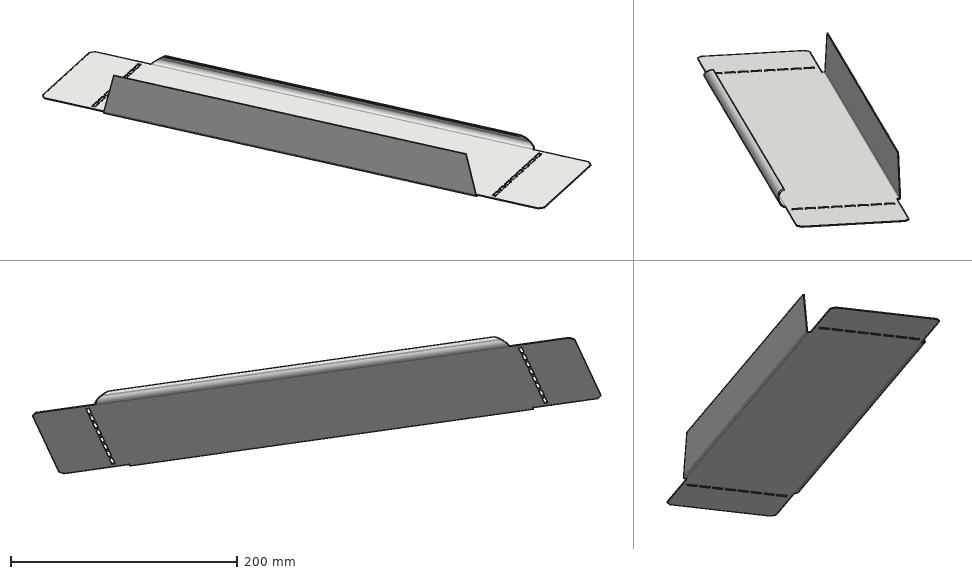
import cadquery as cq

length = 495.0
depth = 110.0
height = 40.0
sheet = 1.0

plate_front = -51.5
plate_back = 49.5
plate_width = plate_back - plate_front
plate_middle = (plate_front + plate_back) / 2
corner_chamfer = 4.0

flange_half_bottom = 184.0
flange_half_top = 173.5
flange_front = -depth / 2
flange_bend_radius = 1.5

curl_lower_radius = depth / 2 - plate_back
curl_upper_radius = 7.0
curl_height = curl_lower_radius + curl_upper_radius
curl_half_bottom = 189.5
curl_half_middle = 182.5
curl_half_top = 173.5

slot_x = 197.5
slot_width = 3.0
slot_length = 9.0
slot_pitch = 12.0
slot_count = 8


def trim_ends(band, right_side):
    """Trim a bent band to an XZ outline mirrored about the YZ plane, given from bottom to top."""
    left_side = [(-x, z) for x, z in reversed(right_side)]
    outline = cq.Workplane("XZ").polyline(right_side + left_side).close()
    return band.intersect(outline.extrude(depth / 2, both=True))


def make_plate():
    plate = (
        cq.Workplane("XY", origin=(0, plate_middle, 0))
        .rect(length, plate_width)
        .extrude(sheet)
        .edges("|Z")
        .chamfer(corner_chamfer)
    )
    slots = (
        cq.Workplane("XY", origin=(0, plate_middle, 0))
        .rarray(2 * slot_x, slot_pitch, 2, slot_count)
        .rect(slot_width, slot_length)
        .extrude(sheet)
    )
    return plate.cut(slots)


def make_front_flange():
    inner_y = flange_front + sheet
    bend_y = flange_front + flange_bend_radius
    inner_radius = flange_bend_radius - sheet
    band = (
        cq.Workplane("YZ")
        .moveTo(plate_front, 0)
        .lineTo(bend_y, 0)
        .radiusArc((flange_front, flange_bend_radius), flange_bend_radius)
        .lineTo(flange_front, height)
        .lineTo(inner_y, height)
        .lineTo(inner_y, flange_bend_radius)
        .radiusArc((bend_y, sheet), -inner_radius)
        .lineTo(plate_front, sheet)
        .close()
        .extrude(flange_half_bottom, both=True)
    )
    return trim_ends(band, [(flange_half_bottom, 0), (flange_half_top, height)])


def make_back_curl():
    outer_y = depth / 2
    inner_y = outer_y - sheet
    tip_y = outer_y - curl_upper_radius
    band = (
        cq.Workplane("YZ")
        .moveTo(plate_back, 0)
        .radiusArc((outer_y, curl_lower_radius), -curl_lower_radius)
        .radiusArc((tip_y, curl_height), -curl_upper_radius)
        .lineTo(tip_y, curl_height - sheet)
        .radiusArc((inner_y, curl_lower_radius), curl_upper_radius - sheet)
        .radiusArc((plate_back, sheet), curl_lower_radius - sheet)
        .close()
        .extrude(curl_half_bottom, both=True)
    )
    side = [
        (curl_half_bottom, 0),
        (curl_half_middle, curl_lower_radius),
        (curl_half_top, curl_height),
    ]
    return trim_ends(band, side)


result = make_plate().union(make_front_flange()).union(make_back_curl())